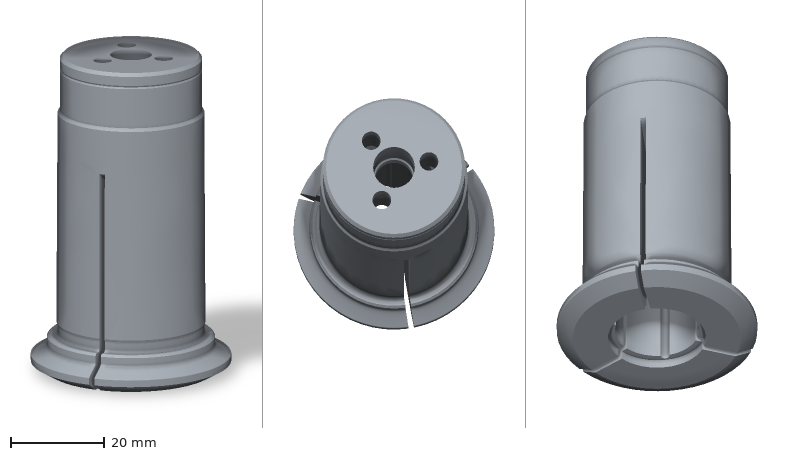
import cadquery as cq
import math

height = 70.0
features_around = 3
cone_slope = math.tan(math.radians(30))

flange_radius = 43.0 / 2
flange_bottom_radius = 18.0
flange_band_bottom = (flange_radius - flange_bottom_radius) * cone_slope
flange_band_top = 3.6
flange_edge_fillet = 0.3
collar_radius = 18.0
collar_bottom = flange_band_top + (flange_radius - collar_radius) * cone_slope
collar_root_fillet = 0.5
collar_top = 8.0
collar_chamfer = 0.5

neck_radius = 31.5 / 2
neck_top = 10.25
neck_top_fillet = 0.8
undercut_fillet = 0.75
undercut_depth = 0.1
undercut_exit_angle = math.radians(20)

body_bottom_radius = 32.0 / 2
body_bottom = neck_top + 0.6
body_top_radius = 31.5 / 2
body_top = 57.2

head_radius = 30.5 / 2
head_bottom = body_top + 0.7
head_chamfer = 0.7
groove_bottom = 66.6
groove_width = 0.7
groove_depth = 0.2

mouth_diameter = 21.0
mouth_depth = 2.0
bore_diameter = 18.0
funnel_bottom = 48.0
chamber_diameter = 21.0
chamber_top = 55.0
throat_diameter = 8.2
throat_top = 58.0
centre_hole_diameter = 8.92

side_hole_diameter = 4.0
side_hole_circle_radius = 7.6
side_hole_first_angle = 30.0

slot_width = 1.2
slot_first_angle = 60.0
slot_outer_top = 47.4
slot_inner_top = 42.7
coolant_groove_diameter = 2.0
coolant_groove_first_angle = 0.0


def spread_around_axis(shape, first_angle):
    """Copies of a shape turned evenly around the Z axis."""
    copies = cq.Workplane("XY")
    for index in range(features_around):
        angle = first_angle + index * 360.0 / features_around
        copies = copies.add(shape.rotate((0, 0, 0), (0, 0, 1), angle))
    return copies


def edges_at_height(body, edge_height):
    """Edges of the body lying at one height."""
    reach = flange_radius + 1
    tolerance = 0.01
    low_corner = (-reach, -reach, edge_height - tolerance)
    high_corner = (reach, reach, edge_height + tolerance)
    return body.edges("%CIRCLE").edges(cq.selectors.BoxSelector(low_corner, high_corner))


def make_outer_body():
    """Solid of revolution: flange, collar, undercut neck, tapered body and grooved head."""
    undercut_floor = collar_top - undercut_depth
    arc_drop = undercut_fillet * math.sqrt(0.5)
    arc_centre_radius = neck_radius + undercut_fillet
    arc_centre_height = undercut_floor + undercut_fillet
    arc_end_radius = arc_centre_radius + undercut_fillet * math.sin(undercut_exit_angle)
    arc_end_height = arc_centre_height - undercut_fillet * math.cos(undercut_exit_angle)
    undercut_edge_radius = arc_end_radius + (collar_top - arc_end_height) / math.tan(undercut_exit_angle)
    profile = (
        cq.Workplane("XZ")
        .lineTo(flange_bottom_radius, 0)
        .lineTo(flange_radius, flange_band_bottom)
        .lineTo(flange_radius, flange_band_top)
        .lineTo(collar_radius, collar_bottom)
        .lineTo(collar_radius, collar_top - collar_chamfer)
        .lineTo(collar_radius - collar_chamfer, collar_top)
        .lineTo(undercut_edge_radius, collar_top)
        .lineTo(arc_end_radius, arc_end_height)
        .threePointArc(
            (arc_centre_radius - arc_drop, arc_centre_height - arc_drop),
            (neck_radius, arc_centre_height),
        )
        .lineTo(neck_radius, neck_top)
        .lineTo(body_bottom_radius, body_bottom)
        .lineTo(body_top_radius, body_top)
        .lineTo(head_radius, head_bottom)
        .lineTo(head_radius, groove_bottom)
        .lineTo(head_radius - groove_depth, groove_bottom + groove_width / 2)
        .lineTo(head_radius, groove_bottom + groove_width)
        .lineTo(head_radius, height - head_chamfer)
        .lineTo(head_radius - head_chamfer, height)
        .lineTo(0, height)
        .close()
    )
    body = profile.revolve(360, (0, 0), (0, 1))
    body = edges_at_height(body, flange_band_top).fillet(flange_edge_fillet)
    body = edges_at_height(body, collar_bottom).fillet(collar_root_fillet)
    return edges_at_height(body, neck_top).fillet(neck_top_fillet)


def make_bore():
    """Mouth, clamping bore, funnel, chamber, throat and centre hole as one solid."""
    funnel_top = funnel_bottom + (chamber_diameter - bore_diameter) / 2
    throat_cone_top = throat_top + (centre_hole_diameter - throat_diameter) / 2
    outline = [
        (0, 0),
        (mouth_diameter / 2, 0),
        (mouth_diameter / 2, mouth_depth),
        (bore_diameter / 2, mouth_depth),
        (bore_diameter / 2, funnel_bottom),
        (chamber_diameter / 2, funnel_top),
        (chamber_diameter / 2, chamber_top),
        (throat_diameter / 2, chamber_top),
        (throat_diameter / 2, throat_top),
        (centre_hole_diameter / 2, throat_cone_top),
        (centre_hole_diameter / 2, height),
        (0, height),
    ]
    return cq.Workplane("XZ").polyline(outline).close().revolve(360, (0, 0), (0, 1))


def make_side_holes():
    """Small holes through the end wall into the chamber."""
    hole = (
        cq.Workplane("XY", origin=(side_hole_circle_radius, 0, chamber_top))
        .circle(side_hole_diameter / 2)
        .extrude(height - chamber_top)
    )
    return spread_around_axis(hole.val(), side_hole_first_angle)


def make_slots():
    """Radial slots open at the flange end, with an upper end sloping down to the bore."""
    bore_radius = bore_diameter / 2
    end_slope = (slot_outer_top - slot_inner_top) / (neck_radius - bore_radius)
    inner_radius = bore_radius / 2
    outer_radius = flange_radius + 1
    outline = [
        (inner_radius, 0),
        (outer_radius, 0),
        (outer_radius, slot_inner_top + (outer_radius - bore_radius) * end_slope),
        (inner_radius, slot_inner_top + (inner_radius - bore_radius) * end_slope),
    ]
    slot = cq.Workplane("XZ").polyline(outline).close().extrude(slot_width / 2, both=True)
    return spread_around_axis(slot.val(), slot_first_angle)


def make_coolant_grooves():
    """Round grooves along the bore wall, from the mouth up to the funnel."""
    groove = (
        cq.Workplane("XY", origin=(bore_diameter / 2, 0, mouth_depth))
        .circle(coolant_groove_diameter / 2)
        .extrude(funnel_bottom - mouth_depth)
    )
    return spread_around_axis(groove.val(), coolant_groove_first_angle)


result = make_outer_body().cut(make_bore())
for cutters in (make_side_holes(), make_slots(), make_coolant_grooves()):
    for cutter in cutters.vals():
        result = result.cut(cq.Workplane(cutter))